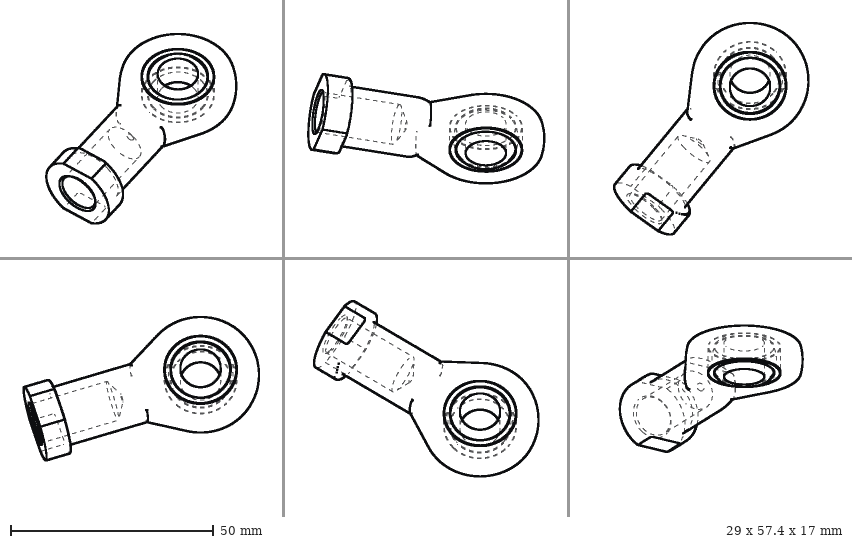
import cadquery as cq
import math

total_length = 57.4

head_diameter = 29.0
head_thickness = 7.0
head_rim_bulge = 0.45
head_edge_round = 0.45
shoulder_angle = 45.0
neck_angle = 31.0
neck_y = -15.95

shank_diameter = 15.0
shoulder_fillet = 0.45
shoulder_round = 0.45
collar_diameter = 19.0
collar_flats = 17.0
collar_length = 6.45
collar_edge_round = 0.45
collar_root_round = 0.6

bore_diameter = 10.0
bore_mouth_diameter = 11.0
bore_depth = 20.1
bore_tip_diameter = 2.0
bore_tip_angle = 118.0

race_diameter = 18.0
race_edge_chamfer = 0.2
race_mouth_diameter = 15.0
ball_diameter = 16.0
ball_width = 9.0
ball_edge_round = 0.2
ball_bore_diameter = 10.0

head_radius = head_diameter / 2
half_thickness = head_thickness / 2
shank_radius = shank_diameter / 2
end_y = head_radius - total_length
collar_y = end_y + collar_length


def rim_section(plane):
    """Half section of the head: flat faces, rounded edges and a crowned rim."""
    edge_radius = head_radius - head_rim_bulge
    return (
        cq.Workplane(plane)
        .moveTo(0, -half_thickness)
        .lineTo(edge_radius, -half_thickness)
        .threePointArc((head_radius, 0), (edge_radius, half_thickness))
        .lineTo(0, half_thickness)
        .close()
    )


def make_neck_side():
    """Straight side of the head on +X, tangent to the round and leaning inward."""
    angle = math.radians(neck_angle)
    section_plane = cq.Plane(
        origin=(0, 0, 0),
        xDir=(math.cos(angle), -math.sin(angle), 0),
        normal=(math.sin(angle), math.cos(angle), 0),
    )
    side = rim_section(section_plane).extrude(-total_length / 2)
    keep = cq.Workplane("XY").box(
        head_diameter, -neck_y, head_thickness, centered=(False, False, True)
    ).translate((0, neck_y, 0))
    return side.intersect(keep)


def make_head():
    round_part = rim_section("XZ").revolve(360, (0, 0), (0, 1))
    side = make_neck_side()
    head = round_part.union(side).union(side.mirror("YZ"))
    outline_edges = cq.selectors.BoxSelector(
        (-head_diameter, neck_y + head_edge_round, -head_thickness),
        (head_diameter, head_diameter, head_thickness),
    )
    return head.faces("|Z").edges().edges(outline_edges).fillet(head_edge_round)


def make_shank():
    """Round shank with a sloped shoulder on its top and bottom."""
    shank = cq.Workplane("XZ", origin=(0, neck_y, 0)).circle(shank_radius).extrude(neck_y - end_y)
    rise = shank_radius - half_thickness
    run = rise / math.tan(math.radians(shoulder_angle))
    wedge = (
        cq.Workplane("YZ")
        .polyline([
            (neck_y, -half_thickness),
            (neck_y, half_thickness),
            (neck_y - run, shank_radius),
            (end_y, shank_radius),
            (end_y, -shank_radius),
            (neck_y - run, -shank_radius),
        ])
        .close()
        .extrude(shank_radius, both=True)
    )
    shank = shank.intersect(wedge)
    shoulder_edges = cq.selectors.BoxSelector(
        (-shank_radius, neck_y - run, -shank_radius),
        (shank_radius, neck_y - shoulder_round, shank_radius),
    )
    return shank.edges(shoulder_edges).fillet(shoulder_round)


def make_corner_fillet():
    """Material rounding the inside corner between the flat head and the upper shoulder."""
    setback = shoulder_fillet * math.tan(math.radians(shoulder_angle / 2))
    slope_run = setback * math.cos(math.radians(shoulder_angle))
    slope_rise = setback * math.sin(math.radians(shoulder_angle))
    half_width = math.sqrt(shank_radius**2 - half_thickness**2) - head_edge_round
    return (
        cq.Workplane("YZ")
        .moveTo(neck_y, half_thickness)
        .lineTo(neck_y + setback, half_thickness)
        .radiusArc((neck_y - slope_run, half_thickness + slope_rise), shoulder_fillet)
        .close()
        .extrude(half_width, both=True)
    )


def make_collar():
    """Round collar with two wrench flats and a filleted root on the shank."""
    collar = (
        cq.Workplane("XZ", origin=(0, collar_y, 0))
        .circle(collar_diameter / 2)
        .extrude(collar_length)
        .faces(">Y").edges().fillet(collar_edge_round)
    )
    flats = cq.Workplane("XY").box(collar_diameter, 2 * total_length, collar_flats)
    root_radius = shank_radius + collar_root_round
    root = (
        cq.Workplane("XY")
        .moveTo(0, collar_y)
        .lineTo(root_radius, collar_y)
        .radiusArc((shank_radius, collar_y + collar_root_round), collar_root_round)
        .lineTo(0, collar_y + collar_root_round)
        .close()
        .revolve(360, (0, 0), (0, 1))
    )
    return collar.intersect(flats).union(root)


def make_shank_bore():
    """Drilled bore with a 45 degree mouth chamfer and a blunt conical tip."""
    bore_radius = bore_diameter / 2
    mouth_radius = bore_mouth_diameter / 2
    tip_radius = bore_tip_diameter / 2
    bottom_y = end_y + bore_depth
    tip_length = (bore_radius - tip_radius) / math.tan(math.radians(bore_tip_angle / 2))
    return (
        cq.Workplane("XY")
        .polyline([
            (0, end_y),
            (mouth_radius, end_y),
            (bore_radius, end_y + mouth_radius - bore_radius),
            (bore_radius, bottom_y),
            (tip_radius, bottom_y + tip_length),
            (0, bottom_y + tip_length),
        ])
        .close()
        .revolve(360, (0, 0), (0, 1))
    )


def make_housing():
    race_seat = cq.Workplane("XY").circle(race_diameter / 2).extrude(half_thickness, both=True)
    housing = make_head().union(make_shank())
    corner = make_corner_fillet()
    housing = housing.union(corner).union(corner.mirror("XY"))
    return housing.union(make_collar()).cut(make_shank_bore()).cut(race_seat)


def make_race():
    """Outer ring with a spherical inside that holds the ball."""
    ring = cq.Workplane("XY").circle(race_diameter / 2).extrude(half_thickness, both=True)
    ring = ring.faces("|Z").edges().chamfer(race_edge_chamfer)
    mouth_radius = race_mouth_diameter / 2
    mouth_cone = (
        cq.Workplane("XZ")
        .polyline([(0, half_thickness), (mouth_radius, half_thickness), (0, half_thickness - mouth_radius)])
        .close()
        .revolve(360, (0, 0), (0, 1))
    )
    ring = ring.cut(mouth_cone).cut(mouth_cone.mirror("XY"))
    return ring.cut(cq.Workplane("XY").sphere(ball_diameter / 2))


def make_ball():
    """Ball with flat ends and a through bore along Z."""
    slab = cq.Workplane("XY").box(ball_diameter, ball_diameter, ball_width)
    ball = cq.Workplane("XY").sphere(ball_diameter / 2).intersect(slab)
    ball = ball.faces("|Z").edges().fillet(ball_edge_round)
    return ball.cut(cq.Workplane("XY").circle(ball_bore_diameter / 2).extrude(ball_width, both=True))


housing = make_housing()
race = make_race()
ball = make_ball()

result = cq.Compound.makeCompound([housing.val(), race.val(), ball.val()])